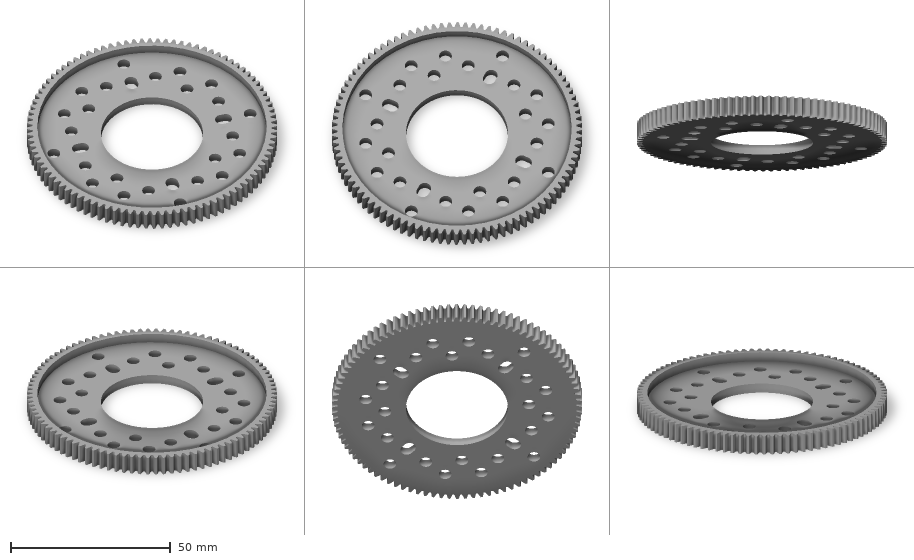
import cadquery as cq
import math

tooth_count = 96
outer_diameter = 78.4
pressure_angle = math.radians(20)
addendum_factor = 1.0
dedendum_factor = 1.25
root_fillet = 0.195
face_width = 6.0

module = outer_diameter / (tooth_count + 2 * addendum_factor)
pitch_radius = module * tooth_count / 2
base_radius = pitch_radius * math.cos(pressure_angle)
tip_radius = outer_diameter / 2
root_radius = pitch_radius - dedendum_factor * module

rim_wall = 1.5
web_thickness = face_width / 2
recess_radius = root_radius - rim_wall
bore_diameter = 32.0

hole_pitch = 8.0
hole_diameter = 4.0
quadrant_grid_points = [(1, 3), (2, 3), (2, 2), (3, 2), (3, 1)]
outer_hole_radius = 4 * hole_pitch

slot_outer_center = 3 * hole_pitch
slot_inner_center = 2 * math.sqrt(2) * hole_pitch
slot_length = slot_outer_center - slot_inner_center + hole_diameter
slot_radius = (slot_outer_center + slot_inner_center) / 2


def polar_point(radius, angle):
    return (radius * math.cos(angle), radius * math.sin(angle))


def involute(angle):
    return math.tan(angle) - angle


def half_tooth_angle(radius):
    """Angle from the tooth centre line to its involute flank at a given radius."""
    local_pressure_angle = math.acos(base_radius / radius)
    return math.pi / (2 * tooth_count) + involute(pressure_angle) - involute(local_pressure_angle)


def make_gear_blank():
    tooth_angle = 2 * math.pi / tooth_count

    fillet_center_radius = root_radius + root_fillet
    fillet_center_angle = half_tooth_angle(fillet_center_radius) + root_fillet / base_radius
    tangent_length = math.sqrt(fillet_center_radius**2 - base_radius**2)
    flank_start_radius = math.hypot(base_radius, tangent_length - root_fillet)

    flank_start_angle = half_tooth_angle(flank_start_radius)
    pitch_angle = half_tooth_angle(pitch_radius)
    tip_angle = half_tooth_angle(tip_radius)

    outline = cq.Workplane("XY").moveTo(*polar_point(root_radius, -fillet_center_angle))
    for tooth in range(tooth_count):
        center = tooth * tooth_angle
        outline = outline.radiusArc(polar_point(flank_start_radius, center - flank_start_angle), root_fillet)
        outline = outline.threePointArc(
            polar_point(pitch_radius, center - pitch_angle), polar_point(tip_radius, center - tip_angle)
        )
        outline = outline.threePointArc(
            polar_point(tip_radius, center), polar_point(tip_radius, center + tip_angle)
        )
        outline = outline.threePointArc(
            polar_point(pitch_radius, center + pitch_angle),
            polar_point(flank_start_radius, center + flank_start_angle),
        )
        outline = outline.radiusArc(polar_point(root_radius, center + fillet_center_angle), root_fillet)
        outline = outline.threePointArc(
            polar_point(root_radius, center + tooth_angle / 2),
            polar_point(root_radius, center + tooth_angle - fillet_center_angle),
        )
    return outline.close().extrude(face_width)


def make_recess():
    recess_depth = face_width - web_thickness
    return cq.Workplane("XY", origin=(0, 0, web_thickness)).circle(recess_radius).extrude(recess_depth)


def make_bore():
    return cq.Workplane("XY").circle(bore_diameter / 2).extrude(web_thickness)


def make_holes():
    grid_points = [
        (side_x * column * hole_pitch, side_y * row * hole_pitch)
        for column, row in quadrant_grid_points
        for side_x in (-1, 1)
        for side_y in (-1, 1)
    ]
    outer_points = [polar_point(outer_hole_radius, quarter * math.pi / 2) for quarter in range(4)]
    holes = cq.Workplane("XY").pushPoints(grid_points + outer_points)
    return holes.circle(hole_diameter / 2).extrude(web_thickness)


def make_slots():
    slots = cq.Workplane("XY").polarArray(slot_radius, 0, 360, 4)
    return slots.slot2D(slot_length, hole_diameter).extrude(web_thickness)


result = make_gear_blank().cut(make_recess()).cut(make_bore()).cut(make_holes()).cut(make_slots())